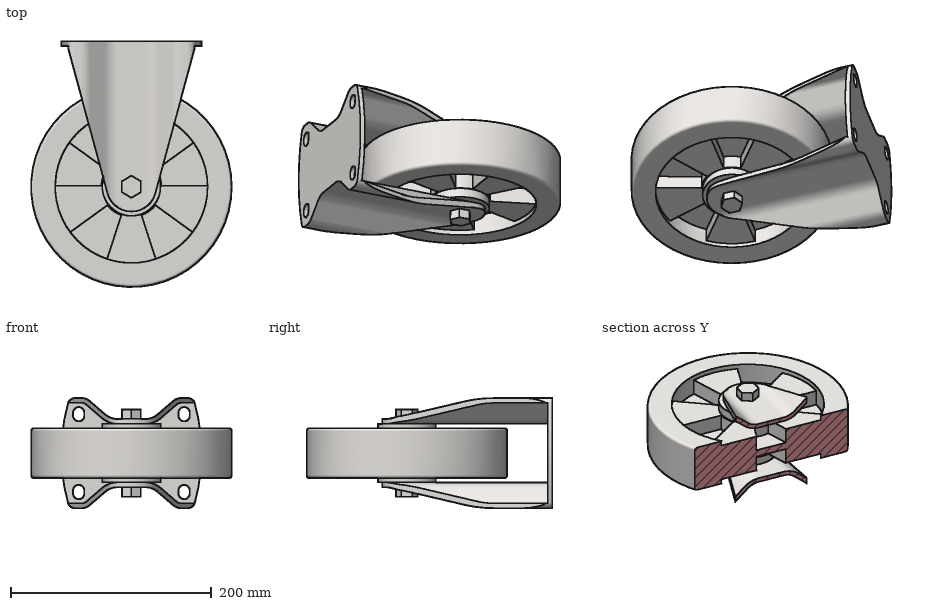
import cadquery as cq
import math


wheel_diameter = 200.0
wheel_width = 50.0
tread_edge_radius = 3.0
rim_bore_diameter = 151.8
web_width = 40.0
pocket_floor_width = 8.0
hub_diameter = 60.0
boss_diameter = 58.0
pocket_count = 5
pocket_angle = 180.0 / pocket_count
pocket_wall_inset = 0.8

bolt_across_flats = 19.0
bolt_height = 87.0

sheet = 4.9
fork_height = 110.0
fork_gap = 58.4
fork_back = 145.0
leg_end_radius = 24.7
leg_taper_angle = 15.2
valley_flat_half = 14.0
valley_radius = 18.6
crest_start = 49.8
crest_end = 55.9
crest_radius = 12.5
side_roll_radius = 7.7

plate_width = 140.0
hole_spacing_x = 105.0
hole_spacing_z = 77.5
hole_width = 11.0
hole_length = 14.0

crest_z = fork_height / 2
crest_inner_z = crest_z - sheet
valley_z = fork_gap / 2 + sheet
roll_angle = math.acos(1 - sheet / side_roll_radius)
fork_half_width = crest_end + side_roll_radius * math.sin(roll_angle)
plate_half_width = plate_width / 2


def cylinder(diameter, width):
    """Cylinder on the wheel axis, centred on Z = 0."""
    return cq.Workplane("XY", origin=(0, 0, -width / 2)).circle(diameter / 2).extrude(width)


def bend_angle():
    """Slope of the leg flank, in radians, that joins valley and crest smoothly."""
    run = crest_start - valley_flat_half
    rise = crest_z - valley_z
    radii = valley_radius + crest_radius
    reach = math.hypot(run, radii - rise)
    return math.atan2(run, radii - rise) - math.acos(radii / reach)


def arc_point(center_x, center_z, radius, angle):
    """Point on an arc; the angle is measured from +Z towards +X."""
    return (center_x + radius * math.sin(angle), center_z + radius * math.cos(angle))


def start_quadrant(depth):
    """Open outline of one section quadrant, from the origin to the start of the crest.

    It follows the leg surface at the given depth below the outer face.
    """
    flank = bend_angle()
    valley_r = valley_radius + depth
    crest_r = crest_radius - depth
    valley_center = (valley_flat_half, valley_z + valley_radius)
    crest_center = (crest_start, crest_z - crest_radius)
    return (
        cq.Workplane("XZ", origin=(0, fork_back, 0))
        .lineTo(0, valley_z - depth)
        .lineTo(valley_flat_half, valley_z - depth)
        .threePointArc(
            arc_point(*valley_center, valley_r, math.pi - flank / 2),
            arc_point(*valley_center, valley_r, math.pi - flank),
        )
        .lineTo(*arc_point(*crest_center, crest_r, -flank))
        .threePointArc(
            arc_point(*crest_center, crest_r, -flank / 2),
            arc_point(*crest_center, crest_r, 0),
        )
    )


def outer_quadrant():
    """Open outline along the outer face, ending at the foot of the side roll."""
    roll_center = (crest_end, crest_z - side_roll_radius)
    return (
        start_quadrant(0)
        .lineTo(crest_end, crest_z)
        .threePointArc(
            arc_point(*roll_center, side_roll_radius, roll_angle / 2),
            arc_point(*roll_center, side_roll_radius, roll_angle),
        )
    )


def four_quadrants(quadrant):
    """Mirror a quadrant solid about the YZ and XY planes."""
    half = quadrant.union(quadrant.mirror("YZ"))
    return half.union(half.mirror("XY"))


def leg_plan():
    """Plan of a leg: straight at the plate, tapering to a round end at the axle."""
    taper = math.radians(leg_taper_angle)
    tangent_x = leg_end_radius * math.cos(taper)
    tangent_y = -leg_end_radius * math.sin(taper)
    taper_start_y = (fork_half_width - leg_end_radius / math.cos(taper)) / math.tan(taper)
    return (
        cq.Workplane("XY")
        .moveTo(fork_half_width, fork_back)
        .lineTo(fork_half_width, taper_start_y)
        .lineTo(tangent_x, tangent_y)
        .threePointArc((0, -leg_end_radius), (-tangent_x, tangent_y))
        .lineTo(-fork_half_width, taper_start_y)
        .lineTo(-fork_half_width, fork_back)
        .close()
        .extrude(fork_height, both=True)
    )


def make_legs():
    """Two pressed sheet legs with a valley along the middle."""
    length = fork_back + leg_end_radius
    outer = outer_quadrant().lineTo(fork_half_width, 0).close().extrude(length)
    inner = (
        start_quadrant(sheet)
        .lineTo(fork_half_width, crest_inner_z)
        .lineTo(fork_half_width, 0)
        .close()
        .extrude(length)
    )
    return four_quadrants(outer.cut(inner)).intersect(leg_plan())


def make_plate():
    """Mounting plate with bowed sides and four slotted holes."""
    bow = plate_half_width - fork_half_width
    bow_radius = (crest_inner_z**2 + bow**2) / (2 * bow)
    half_bow_angle = math.asin(crest_inner_z / bow_radius) / 2
    bow_middle = (
        plate_half_width - bow_radius * (1 - math.cos(half_bow_angle)),
        bow_radius * math.sin(half_bow_angle),
    )
    quadrant = outer_quadrant().threePointArc(bow_middle, (plate_half_width, 0)).close().extrude(sheet)
    holes = (
        cq.Workplane("XZ", origin=(0, fork_back, 0))
        .rarray(hole_spacing_x, hole_spacing_z, 2, 2)
        .slot2D(hole_length, hole_width, 90)
        .extrude(sheet)
    )
    return four_quadrants(quadrant).cut(holes)


def pocket_wedge(middle_angle):
    """Wedge through the wheel, centred on the given angle in degrees.

    Its apex lies off the axis so that each wall is set in from the radial line beside it.
    """
    half_angle = math.radians(pocket_angle / 2)
    apex = pocket_wall_inset / math.sin(half_angle)
    reach = wheel_diameter
    half_opening = reach * math.tan(half_angle)
    return (
        cq.Workplane("XY", origin=(0, 0, -wheel_width / 2))
        .moveTo(apex, 0)
        .lineTo(apex + reach, -half_opening)
        .lineTo(apex + reach, half_opening)
        .close()
        .extrude(wheel_width)
        .rotate((0, 0, 0), (0, 0, 1), middle_angle)
    )


def make_wheel():
    """Wheel with a recessed spoke face and pockets between the spokes on both sides."""
    rim = cylinder(wheel_diameter, wheel_width).edges().fillet(tread_edge_radius)
    wheel = rim.cut(cylinder(rim_bore_diameter, wheel_width))
    wheel = wheel.union(cylinder(rim_bore_diameter, pocket_floor_width))
    spokes = cylinder(rim_bore_diameter, web_width)
    for index in range(pocket_count):
        spokes = spokes.cut(pocket_wedge(pocket_angle * (2 * index + 0.5)))
    return wheel.union(spokes).union(cylinder(hub_diameter, web_width))


def make_axle():
    """Boss that fills the gap between hub and legs, and a hexagon head at each end.

    The hexagon has a corner towards +Y.
    """
    boss = cylinder(boss_diameter, fork_gap)
    half_side_angle = 30.0
    corner_diameter = bolt_across_flats / math.cos(math.radians(half_side_angle))
    bolt = (
        cq.Workplane("XY")
        .polygon(6, corner_diameter)
        .extrude(bolt_height / 2, both=True)
        .rotate((0, 0, 0), (0, 0, 1), half_side_angle)
    )
    return boss.union(bolt)


result = make_plate().union(make_legs()).union(make_wheel()).union(make_axle())